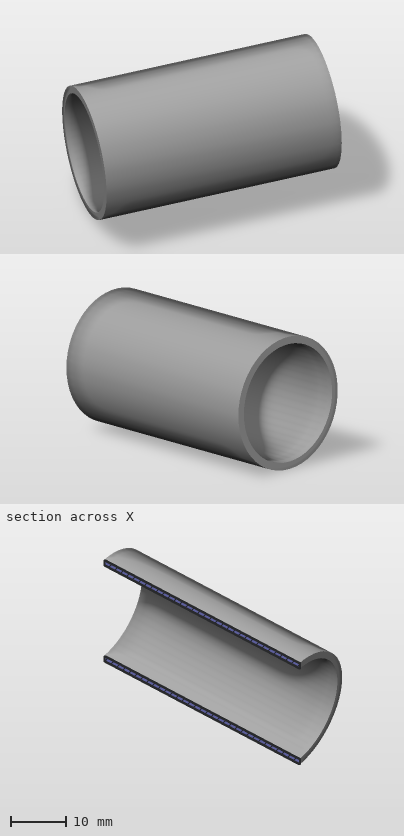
import cadquery as cq

length = 44.95
outer_diameter = 24.9
wall_thickness = 1.4

outer_radius = outer_diameter / 2
inner_radius = outer_radius - wall_thickness

result = (
    cq.Workplane("XZ", origin=(0, length / 2, 0))
    .circle(outer_radius)
    .circle(inner_radius)
    .extrude(length)
)